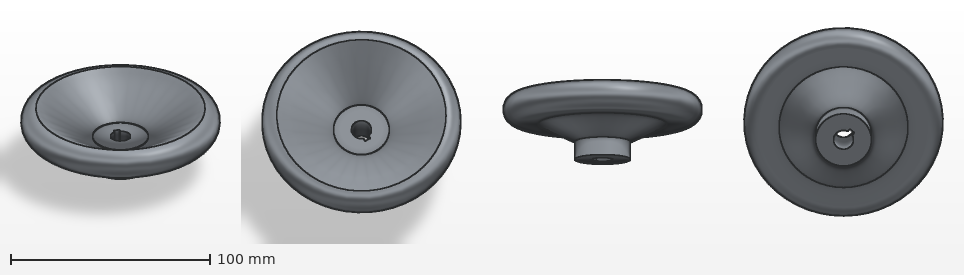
import cadquery as cq

outer_diameter = 100.0
total_height = 33.0
rim_thickness = 15.0
hub_diameter = 28.0
hub_base_height = 9.0
hub_top = 17.0
hub_step = 0.4
cone_outer_radius = 32.4
bore_diameter = 10.0
keyway_width = 3.0
keyway_reach = 6.4

outer_radius = outer_diameter / 2
hub_radius = hub_diameter / 2
rim_radius = rim_thickness / 2
rim_inner_radius = outer_radius - rim_radius
rim_bottom = total_height - rim_thickness
rim_middle = total_height - rim_radius


def wheel_body():
    """Revolve the hub, cone and half-round rim about Z."""
    return (
        cq.Workplane("XZ")
        .moveTo(0, 0)
        .lineTo(hub_radius, 0)
        .lineTo(hub_radius, hub_base_height)
        .lineTo(cone_outer_radius, rim_bottom)
        .lineTo(rim_inner_radius, rim_bottom)
        .threePointArc((outer_radius, rim_middle), (rim_inner_radius, total_height))
        .lineTo(hub_radius, hub_top - hub_step)
        .lineTo(hub_radius, hub_top)
        .lineTo(0, hub_top)
        .close()
        .revolve(360, (0, 0, 0), (0, 1, 0))
    )


def keyed_bore():
    """Through bore with a keyway on its -X side."""
    bore = cq.Workplane("XY").circle(bore_diameter / 2).extrude(hub_top)
    keyway = (
        cq.Workplane("XY")
        .center(-keyway_reach / 2, 0)
        .rect(keyway_reach, keyway_width)
        .extrude(hub_top)
    )
    return bore.union(keyway)


result = wheel_body().cut(keyed_bore())